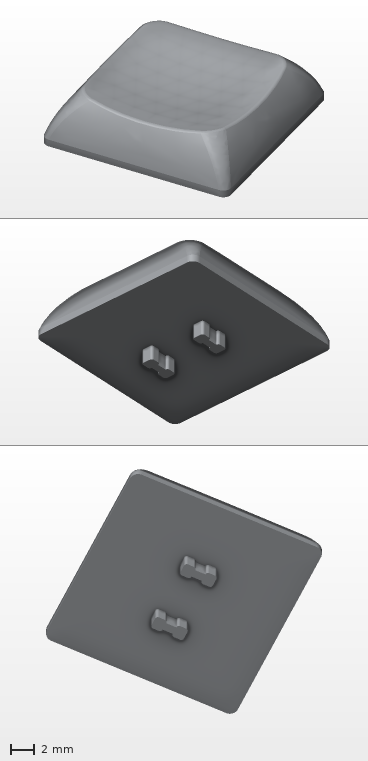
import math

import cadquery as cq


cap_width = 18.0
skirt_height = 0.68
skirt_corner_radius = 0.75
overall_height = 5.94

wall_lean_at_skirt = math.radians(14)
wall_arc_radius = 9.0
wall_top = 4.9
wall_section_count = 5
corner_radius_growth = 0.5
wall_bow_at_top = 0.15

dish_radius = 28.5
dish_depth = 1.39
rim_fillet = 0.32

stem_spacing = 5.75
stem_length = 1.4
stem_thickness = 1.2
stem_width = 3.05
stem_edge_fillet = 0.24
waist_width = 0.96
waist_depth = 0.25


def wall_half_width(z):
    """Distance from the cap's axis to the middle of a side wall at height z."""
    rise = (z - skirt_height) / wall_arc_radius
    lean = math.asin(math.sin(wall_lean_at_skirt) + rise)
    return cap_width / 2 - wall_arc_radius * (math.cos(wall_lean_at_skirt) - math.cos(lean))


def quarter_turns(x, y, count):
    """The point (x, y) turned clockwise about the origin by a number of quarter turns."""
    for _ in range(count):
        x, y = y, -x
    return x, y


def wall_section(z):
    """Wire of the wall at height z: four sides, bowed above the skirt, joined by round corners."""
    middle = wall_half_width(z)
    corner_radius = skirt_corner_radius + corner_radius_growth * (cap_width / 2 - middle)
    bow = wall_bow_at_top * ((z - skirt_height) / (wall_top - skirt_height)) ** 2
    half_side = middle - corner_radius
    side_end = middle - bow

    outline = cq.Workplane("XY", origin=(0, 0, z)).moveTo(-half_side, side_end)
    for turn in range(4):
        side_middle = quarter_turns(0, middle, turn)
        corner_start = quarter_turns(half_side, side_end, turn)
        corner_end = quarter_turns(side_end, half_side, turn)
        if bow > 0:
            outline = outline.threePointArc(side_middle, corner_start)
        else:
            outline = outline.lineTo(*corner_start)
        outline = outline.tangentArcPoint(corner_end, relative=False)
    return outline.close().val()


def make_skirt():
    skirt = cq.Workplane("XY").rect(cap_width, cap_width).extrude(skirt_height)
    return skirt.edges("|Z").fillet(skirt_corner_radius)


def make_dished_top():
    """Curved walls lofted up from the skirt, dished on top, with a rounded rim."""
    section_step = (wall_top - skirt_height) / (wall_section_count - 1)
    sections = [wall_section(skirt_height + i * section_step) for i in range(wall_section_count)]
    walls = cq.Workplane(cq.Solid.makeLoft(sections))

    dish_bottom = overall_height - stem_length - dish_depth
    dish_centre = (0, 0, dish_bottom + dish_radius)
    dish = cq.Workplane("XY", origin=dish_centre).sphere(dish_radius, direct=cq.Vector(0, 1, 0))
    return walls.cut(dish).faces("%SPHERE").edges().fillet(rim_fillet)


def make_stem(x):
    """One stem centred at x, hanging from the underside of the skirt."""
    stem = cq.Workplane("XY").rect(stem_thickness, stem_width).extrude(-stem_length)
    waists = cq.Workplane("XY").pushPoints([(-stem_thickness / 2, 0), (stem_thickness / 2, 0)])
    stem = stem.cut(waists.rect(2 * waist_depth, waist_width).extrude(-stem_length))
    stem = stem.edges("|Z").edges("<X or >X").fillet(stem_edge_fillet)
    return stem.translate((x, 0, 0))


result = make_skirt().union(make_dished_top())
for stem_x in (-stem_spacing / 2, stem_spacing / 2):
    result = result.union(make_stem(stem_x))